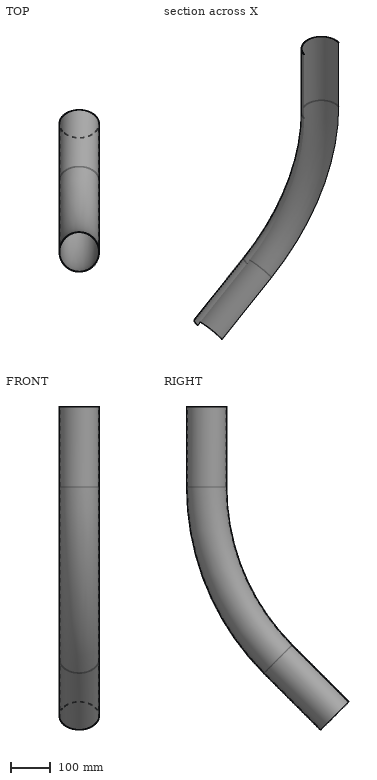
import cadquery as cq
import math

overall_height = 814.0
outer_diameter = 102.0
inner_diameter = 98.0
leg_length = 202.0
bend_degrees = 45.0

bend_angle = math.radians(bend_degrees)
legs_height = leg_length * (1 + math.cos(bend_angle))
tilted_rim_height = outer_diameter / 2 * math.sin(bend_angle)
bend_radius = (overall_height - legs_height - tilted_rim_height) / math.sin(bend_angle)


def bend_point(angle):
    """Centreline point (Y, Z) at an angle along the bend, which starts at the origin."""
    return (bend_radius * (1 - math.cos(angle)), -bend_radius * math.sin(angle))


bend_middle = bend_point(bend_angle / 2)
bend_end = bend_point(bend_angle)
lower_end = (
    bend_end[0] + leg_length * math.sin(bend_angle),
    bend_end[1] - leg_length * math.cos(bend_angle),
)
centreline = (
    cq.Workplane("YZ")
    .moveTo(0, leg_length)
    .lineTo(0, 0)
    .threePointArc(bend_middle, bend_end)
    .lineTo(*lower_end)
)

result = (
    cq.Workplane("XY", origin=(0, 0, leg_length))
    .circle(outer_diameter / 2)
    .circle(inner_diameter / 2)
    .sweep(centreline)
)